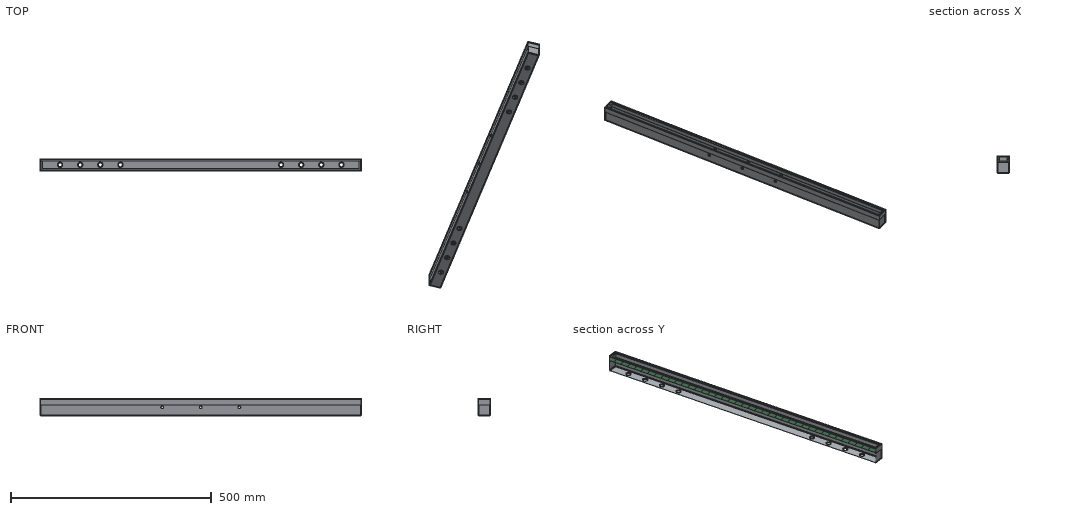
import cadquery as cq

length = 800
width = 30
height = 43
bottom_chamfer = 2

wall = 2
floor = 2
cavity_top = 27
cavity_length = length - 2 * wall
cavity_width = width - 2 * wall

lip = 4
lip_slope_top = cavity_top + lip
slot_length = cavity_length - 2 * lip
slot_width = cavity_width - 2 * lip
rebate_depth = 2

floor_hole_diameter = 10
countersink_diameter = 13
countersink_angle = 90
floor_hole_spacing = 50
floor_hole_first = 200
floor_holes_per_end = 4

side_hole_diameter = 6
side_hole_spacing = 96
side_hole_height = height / 2


def block(x_size, y_size, bottom, top):
    """Box centred in X and Y that spans the given heights."""
    return cq.Workplane("XY", origin=(0, 0, bottom)).rect(x_size, y_size).extrude(top - bottom)


def outer_body():
    """Solid bar with its bottom edges chamfered."""
    return block(length, width, 0, height).faces("<Z").edges().chamfer(bottom_chamfer)


def interior():
    """Hollow of the channel: cavity, sloped roof, slot and top rebate."""
    cavity = block(cavity_length, cavity_width, floor, cavity_top)
    roof = (
        cq.Workplane("XY", origin=(0, 0, cavity_top))
        .rect(cavity_length, cavity_width)
        .workplane(offset=lip_slope_top - cavity_top)
        .rect(slot_length, slot_width)
        .loft(ruled=True)
    )
    slot = block(slot_length, slot_width, lip_slope_top, height)
    rebate = block(cavity_length, cavity_width, height - rebate_depth, height)
    return cavity.union(roof).union(slot).union(rebate)


def add_floor_holes(body):
    """Drill the countersunk holes down through the floor."""
    points = []
    for index in range(floor_holes_per_end):
        x = floor_hole_first + index * floor_hole_spacing
        points += [(-x, 0), (x, 0)]
    return (
        cq.Workplane("XY", origin=(0, 0, floor))
        .add(body)
        .pushPoints(points)
        .cskHole(floor_hole_diameter, countersink_diameter, countersink_angle, floor)
    )


def side_holes():
    """Cylinders that cross the full width of the channel."""
    points = [(step * side_hole_spacing, side_hole_height) for step in (-1, 0, 1)]
    return (
        cq.Workplane("XZ")
        .pushPoints(points)
        .circle(side_hole_diameter / 2)
        .extrude(width / 2, both=True)
    )


channel = outer_body().cut(interior())
result = add_floor_holes(channel).cut(side_holes())